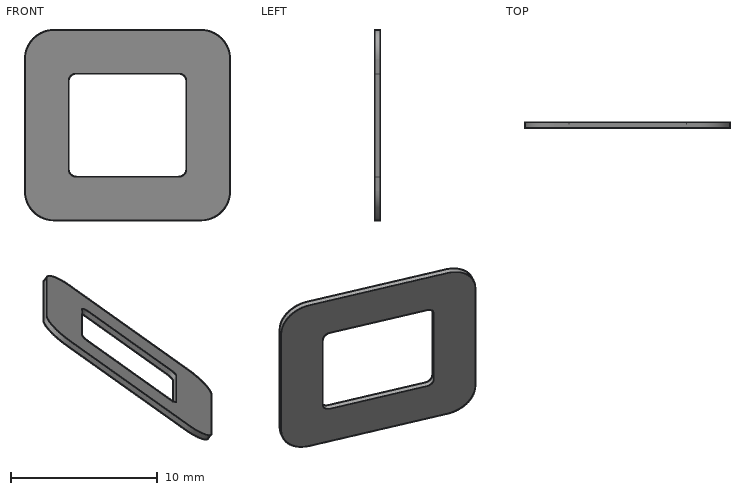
import cadquery as cq

outer_width = 14.0
outer_height = 13.0
thickness = 0.4
rim_width = 3.0
outer_corner_radius = 2.0
window_corner_radius = 0.5

window_width = outer_width - 2 * rim_width
window_height = outer_height - 2 * rim_width


def rounded_plate(width, height, corner_radius):
    """Plate centred on the origin, with its four corners rounded about Y."""
    plate = cq.Workplane("XY").box(width, thickness, height)
    return plate.edges("|Y").fillet(corner_radius)


frame = rounded_plate(outer_width, outer_height, outer_corner_radius)
window = rounded_plate(window_width, window_height, window_corner_radius)

result = frame.cut(window)